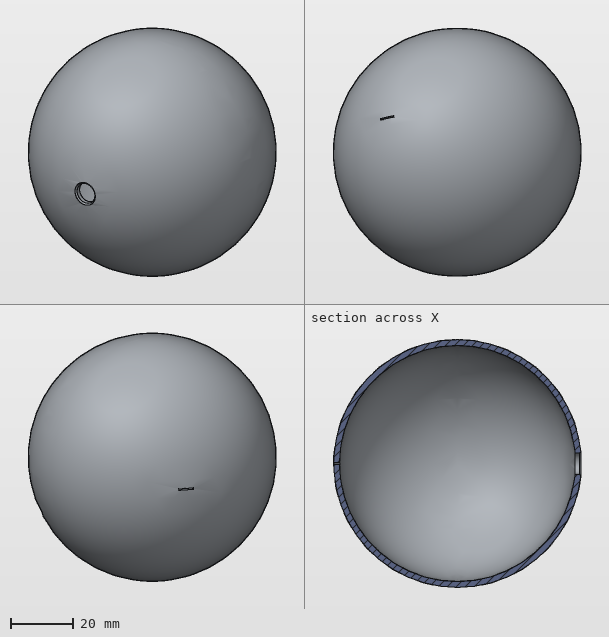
import cadquery as cq
import math

ball_diameter = 80.0
wall_thickness = 2.0
hole_diameter = 6.8
chamfer_size = 0.5
slit_length = 5.0
slit_height = 0.5

ball_radius = ball_diameter / 2
cavity_radius = ball_radius - wall_thickness
hole_radius = hole_diameter / 2
rim_radius = hole_radius + chamfer_size

rim_distance = math.sqrt(ball_radius**2 - rim_radius**2)


def hollow_ball():
    return cq.Workplane("XY").sphere(ball_radius).cut(cq.Workplane("XY").sphere(cavity_radius))


def hole_cutter():
    """Solid of revolution about the Y axis: a drill with a 45-degree countersink."""
    return (
        cq.Workplane("XY")
        .moveTo(0, 0)
        .lineTo(hole_radius, 0)
        .lineTo(hole_radius, chamfer_size - rim_distance)
        .lineTo(rim_radius, -rim_distance)
        .lineTo(rim_radius, -ball_radius)
        .lineTo(0, -ball_radius)
        .close()
        .revolve(360, (0, 0, 0), (0, 1, 0))
    )


def slit_cutter():
    """Flat bar from the ball centre to the +Y side."""
    return cq.Workplane("XY").box(slit_length, ball_radius, slit_height, centered=(True, False, True))


result = hollow_ball().cut(hole_cutter()).cut(slit_cutter())